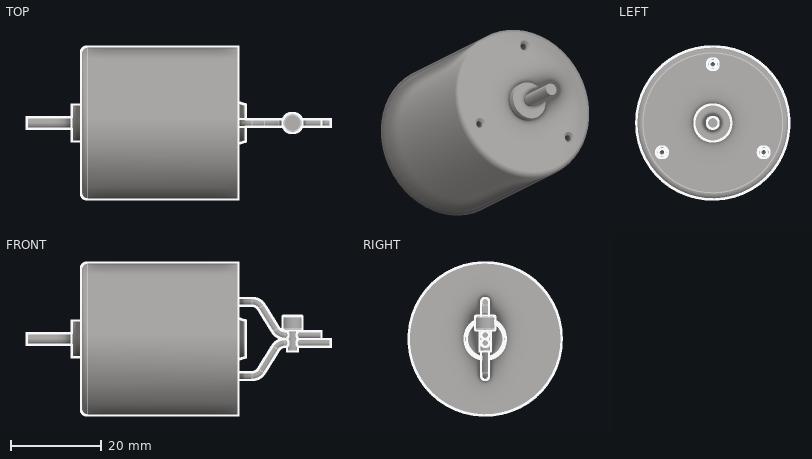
import cadquery as cq
import math

can_diameter = 34.0
can_length = 35.0
can_front_fillet = 1.5

shaft_diameter = 2.6
shaft_length = 10.0
front_boss_diameter = 8.2
front_boss_length = 2.0

rear_boss_base_diameter = 9.2
rear_boss_end_diameter = 8.15
rear_boss_length = 1.6

hole_count = 3
hole_circle_radius = 13.0
hole_mouth_diameter = 2.6
hole_diameter = 1.5
hole_depth = 2.7
hole_tip_angle = math.radians(118)

wire_diameter = 1.75
wire_exit_height = 8.2
wire_lead_length = 3.0
wire_bend_radius = 2.4
wire_bend_angle = math.radians(58)
overall_length = 67.4
upper_wire_setback = 2.0

clip_offset = 11.9
clip_stem_diameter = 2.5
clip_bottom_height = -2.8
clip_cap_diameter = 4.5
clip_cap_bottom_height = 1.8
clip_cap_top_height = 5.2
clip_cap_fillet = 0.5

front_end_x = -(shaft_length + front_boss_length)
wire_end_x = overall_length + front_end_x
wire_pair_height = wire_diameter / 2
embed_depth = 0.7


def make_can():
    can = cq.Workplane("YZ").circle(can_diameter / 2).extrude(can_length)
    return can.faces("<X").edges().fillet(can_front_fillet)


def make_shaft_and_front_boss():
    shaft = cq.Workplane("YZ").circle(shaft_diameter / 2).extrude(front_end_x)
    boss = cq.Workplane("YZ").circle(front_boss_diameter / 2).extrude(-front_boss_length)
    return shaft.union(boss)


def make_rear_boss():
    return (
        cq.Workplane("YZ", origin=(can_length, 0, 0))
        .circle(rear_boss_base_diameter / 2)
        .workplane(offset=rear_boss_length)
        .circle(rear_boss_end_diameter / 2)
        .loft()
    )


def make_mounting_holes():
    """Blind holes in the front face, each with a 45 degree countersink and a conical drill tip."""
    mouth_radius = hole_mouth_diameter / 2
    hole_radius = hole_diameter / 2
    countersink_depth = mouth_radius - hole_radius
    tip_depth = hole_radius / math.tan(hole_tip_angle / 2)
    hole = (
        cq.Workplane("XY")
        .moveTo(0, 0)
        .lineTo(0, mouth_radius)
        .lineTo(countersink_depth, hole_radius)
        .lineTo(hole_depth, hole_radius)
        .lineTo(hole_depth + tip_depth, 0)
        .close()
        .revolve(360, (0, 0, 0), (1, 0, 0))
        .translate((0, 0, hole_circle_radius))
    )
    holes = cq.Workplane("XY")
    for index in range(hole_count):
        holes = holes.add(hole.rotate((0, 0, 0), (1, 0, 0), index * 360 / hole_count))
    return holes.combine()


def make_wire(side, end_x):
    """A wire that bends toward the axis and back; side is +1 above, -1 below."""
    bend_run = wire_bend_radius * math.sin(wire_bend_angle)
    bend_drop = wire_bend_radius * (1 - math.cos(wire_bend_angle))
    total_drop = wire_exit_height - wire_pair_height
    slope_drop = total_drop - 2 * bend_drop
    slope_run = slope_drop / math.tan(wire_bend_angle)
    half_bend_run = wire_bend_radius * math.sin(wire_bend_angle / 2)
    half_bend_drop = wire_bend_radius * (1 - math.cos(wire_bend_angle / 2))

    start_x = can_length - embed_depth
    first_bend_x = can_length + wire_lead_length
    slope_start_x = first_bend_x + bend_run
    slope_end_x = slope_start_x + slope_run
    second_bend_end_x = slope_end_x + bend_run

    path = (
        cq.Workplane("XZ")
        .moveTo(start_x, side * wire_exit_height)
        .lineTo(first_bend_x, side * wire_exit_height)
        .threePointArc(
            (first_bend_x + half_bend_run, side * (wire_exit_height - half_bend_drop)),
            (slope_start_x, side * (wire_exit_height - bend_drop)),
        )
        .lineTo(slope_end_x, side * (wire_pair_height + bend_drop))
        .threePointArc(
            (second_bend_end_x - half_bend_run, side * (wire_pair_height + half_bend_drop)),
            (second_bend_end_x, side * wire_pair_height),
        )
        .lineTo(end_x, side * wire_pair_height)
    )
    section = cq.Workplane("YZ", origin=(start_x, 0, side * wire_exit_height))
    return section.circle(wire_diameter / 2).sweep(path)


def make_clip():
    """An upright pin with a rounded cap that holds the two wires together."""
    clip_x = can_length + clip_offset
    stem = (
        cq.Workplane("XY", origin=(clip_x, 0, clip_bottom_height))
        .circle(clip_stem_diameter / 2)
        .extrude(clip_cap_bottom_height - clip_bottom_height)
    )
    cap = (
        cq.Workplane("XY", origin=(clip_x, 0, clip_cap_bottom_height))
        .circle(clip_cap_diameter / 2)
        .extrude(clip_cap_top_height - clip_cap_bottom_height)
        .edges()
        .fillet(clip_cap_fillet)
    )
    return stem.union(cap)


result = (
    make_can()
    .union(make_shaft_and_front_boss())
    .union(make_rear_boss())
    .cut(make_mounting_holes())
    .union(make_wire(1, wire_end_x - upper_wire_setback))
    .union(make_wire(-1, wire_end_x))
    .union(make_clip())
)